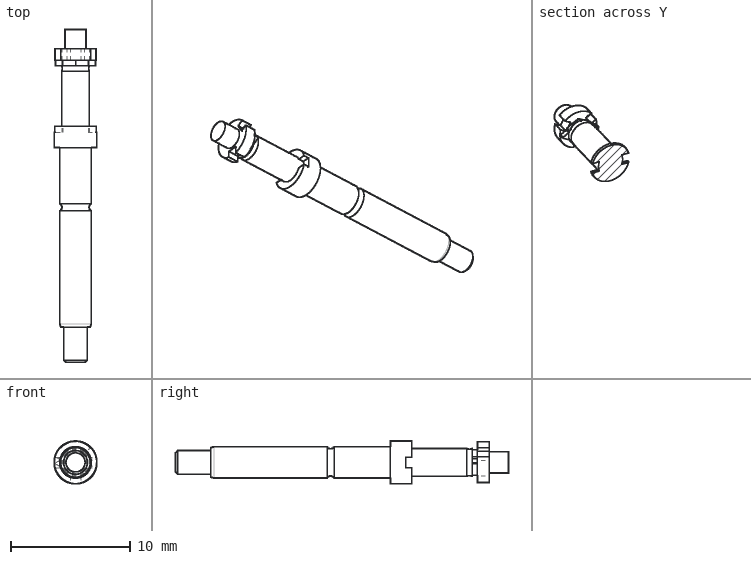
import math

import cadquery as cq

TOTAL_LENGTH = 27.9
HEAD_START = 1.6
HEAD_END = 2.6
SLEEVE_START = 3.05
HOLLOW_END = 3.5
COLLAR_START = 8.1
COLLAR_END = 9.9
GROOVE_START = 14.62
GROOVE_END = 15.2
BODY_END = 24.95

TAIL_R = 0.9
HEAD_R = 1.75
LUG_R = 1.69
SLEEVE_R = 1.17
NECK_R = SLEEVE_R
HOLLOW_R = 1.12
COLLAR_R = 1.8
BODY_R = 1.325
GROOVE_R = 1.15
PLUNGER_R = 1.0

BODY_CHAMFER_LENGTH = 0.27
BODY_CHAMFER_HEIGHT = 0.08
PLUNGER_CHAMFER = 0.2

HEAD_SLOT_WIDTH = 0.85
HEAD_SLOT_FLOOR_DISTANCE = 1.1
HEAD_SLOT_ANGLES = (30, 150, 270)
FLAT_TILT = 30
NECK_FLAT_DISTANCE = 0.935
LUG_TOP_FLAT_DISTANCE = 0.83

COLLAR_SLOT_WIDTH = 0.9
COLLAR_SLOT_DEPTH = 0.5


def section_plane(station):
    """Cross-section plane facing the rear end, with local (x, y) along (-X, Z)."""
    return cq.Workplane(cq.Plane((0, TOTAL_LENGTH / 2 - station, 0), xDir=(-1, 0, 0), normal=(0, 1, 0)))


def cylinder(start, end, radius):
    return section_plane(end).circle(radius).extrude(end - start)


def rim(station, radius):
    """Point of a turned profile in the XY plane."""
    return (radius, TOTAL_LENGTH / 2 - station)


def revolve_about_axis(profile):
    return profile.revolve(360, (0, 0, 0), (0, 1, 0))


def slotted_head():
    """Disc with three flat-floored radial slots."""
    head = cylinder(HEAD_START, HEAD_END, HEAD_R)
    for angle in HEAD_SLOT_ANGLES:
        slot = (
            section_plane(HEAD_END)
            .transformed(rotate=(0, 0, angle))
            .center(HEAD_SLOT_FLOOR_DISTANCE + HEAD_R / 2, 0)
            .rect(HEAD_R, HEAD_SLOT_WIDTH)
            .extrude(HEAD_END - HEAD_START)
        )
        head = head.cut(slot)
    return head


def rhombic_prism(top_distance, bottom_distance):
    """Four tilted flats at the given distances from the axis, meeting at a top and a bottom ridge."""
    tilt = math.radians(FLAT_TILT)
    top_z = top_distance / math.cos(tilt)
    bottom_z = -bottom_distance / math.cos(tilt)
    tip_x = (top_distance + bottom_distance) / (2 * math.sin(tilt))
    tip_z = (top_z + bottom_z) / 2
    outline = [(0, top_z), (tip_x, tip_z), (0, bottom_z), (-tip_x, tip_z)]
    return section_plane(SLEEVE_START).polyline(outline).close().extrude(SLEEVE_START - HEAD_END)


def neck():
    """Four-sided core with a pointed lug on each side, the lug tops set a little lower."""
    core = rhombic_prism(NECK_FLAT_DISTANCE, NECK_FLAT_DISTANCE)
    core = core.intersect(cylinder(HEAD_END, SLEEVE_START, NECK_R))
    lugs = rhombic_prism(LUG_TOP_FLAT_DISTANCE, NECK_FLAT_DISTANCE)
    lugs = lugs.intersect(cylinder(HEAD_END, SLEEVE_START, LUG_R))
    return core.union(lugs)


def hollowed_sleeve():
    """Round sleeve with a shallow rounded hollow at its rear end, running on through the collar."""
    hollow_middle = (SLEEVE_START + HOLLOW_END) / 2
    profile = (
        cq.Workplane("XY")
        .moveTo(*rim(SLEEVE_START, 0))
        .lineTo(*rim(SLEEVE_START, SLEEVE_R))
        .threePointArc(rim(hollow_middle, HOLLOW_R), rim(HOLLOW_END, SLEEVE_R))
        .lineTo(*rim(COLLAR_END, SLEEVE_R))
        .lineTo(*rim(COLLAR_END, 0))
        .close()
    )
    return revolve_about_axis(profile)


def slotted_collar():
    """Collar with a slot across each side of its rear face, down to the sleeve."""
    collar = cylinder(COLLAR_START, COLLAR_END, COLLAR_R)
    slot_end = COLLAR_START + COLLAR_SLOT_DEPTH
    slot = section_plane(slot_end).rect(2 * COLLAR_R, COLLAR_SLOT_WIDTH).extrude(COLLAR_SLOT_DEPTH)
    return collar.cut(slot)


def front_body():
    """Turned barrel with a rounded groove and a shallow end taper, then the plunger."""
    groove_middle = (GROOVE_START + GROOVE_END) / 2
    profile = (
        cq.Workplane("XY")
        .moveTo(*rim(COLLAR_END, 0))
        .lineTo(*rim(COLLAR_END, BODY_R))
        .lineTo(*rim(GROOVE_START, BODY_R))
        .threePointArc(rim(groove_middle, GROOVE_R), rim(GROOVE_END, BODY_R))
        .lineTo(*rim(BODY_END - BODY_CHAMFER_LENGTH, BODY_R))
        .lineTo(*rim(BODY_END, BODY_R - BODY_CHAMFER_HEIGHT))
        .lineTo(*rim(BODY_END, PLUNGER_R))
        .lineTo(*rim(TOTAL_LENGTH - PLUNGER_CHAMFER, PLUNGER_R))
        .lineTo(*rim(TOTAL_LENGTH, PLUNGER_R - PLUNGER_CHAMFER))
        .lineTo(*rim(TOTAL_LENGTH, 0))
        .close()
    )
    return revolve_about_axis(profile)


result = cylinder(0, HEAD_END, TAIL_R)
for section in (slotted_head(), neck(), hollowed_sleeve(), slotted_collar(), front_body()):
    result = result.union(section)